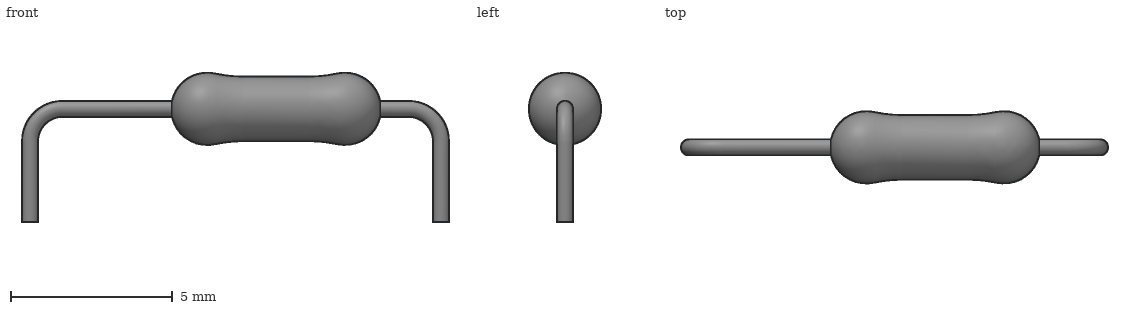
import cadquery as cq
import math

overall_length = 13.2
wire_diameter = 0.5
bend_radius = 1.0
axis_height = 3.5

body_offset = 1.25
body_length = 6.5
bulb_diameter = 2.25
barrel_diameter = 2.0
barrel_length = 2.03

half_pitch = (overall_length - wire_diameter) / 2
bulb_radius = bulb_diameter / 2
barrel_radius = barrel_diameter / 2
half_barrel = barrel_length / 2
half_body = body_length / 2
bulb_center = half_body - bulb_radius

neck_span = bulb_center - half_barrel
neck_radius = (neck_span**2 + barrel_radius**2 - bulb_radius**2) / (2 * (bulb_radius - barrel_radius))
neck_center_height = barrel_radius + neck_radius
neck_angle = math.atan2(neck_span, neck_center_height)


def make_body():
    """Revolve the dumbbell-shaped profile about the X axis."""
    tangent_x = bulb_center - bulb_radius * math.sin(neck_angle)
    tangent_height = bulb_radius * math.cos(neck_angle)
    neck_mid_x = half_barrel + neck_radius * math.sin(neck_angle / 2)
    neck_mid_height = neck_center_height - neck_radius * math.cos(neck_angle / 2)
    bulb_mid_angle = (math.pi / 2 - neck_angle) / 2
    bulb_mid_x = bulb_center + bulb_radius * math.sin(bulb_mid_angle)
    bulb_mid_height = bulb_radius * math.cos(bulb_mid_angle)

    profile = (
        cq.Workplane("XZ")
        .moveTo(-half_body, 0)
        .threePointArc((-bulb_mid_x, bulb_mid_height), (-tangent_x, tangent_height))
        .threePointArc((-neck_mid_x, neck_mid_height), (-half_barrel, barrel_radius))
        .lineTo(half_barrel, barrel_radius)
        .threePointArc((neck_mid_x, neck_mid_height), (tangent_x, tangent_height))
        .threePointArc((bulb_mid_x, bulb_mid_height), (half_body, 0))
        .close()
    )
    body = profile.revolve(360, (0, 0), (1, 0))
    return body.translate((body_offset, 0, axis_height))


def make_wire():
    """Sweep one round wire up, through the body and down again."""
    bend_start = axis_height - bend_radius
    straight_end = half_pitch - bend_radius
    path = (
        cq.Workplane("XZ")
        .moveTo(-half_pitch, 0)
        .lineTo(-half_pitch, bend_start)
        .tangentArcPoint((-straight_end, axis_height), relative=False)
        .lineTo(straight_end, axis_height)
        .tangentArcPoint((half_pitch, bend_start), relative=False)
        .lineTo(half_pitch, 0)
    )
    section = cq.Workplane("XY").center(-half_pitch, 0).circle(wire_diameter / 2)
    return section.sweep(path)


result = make_body().union(make_wire())